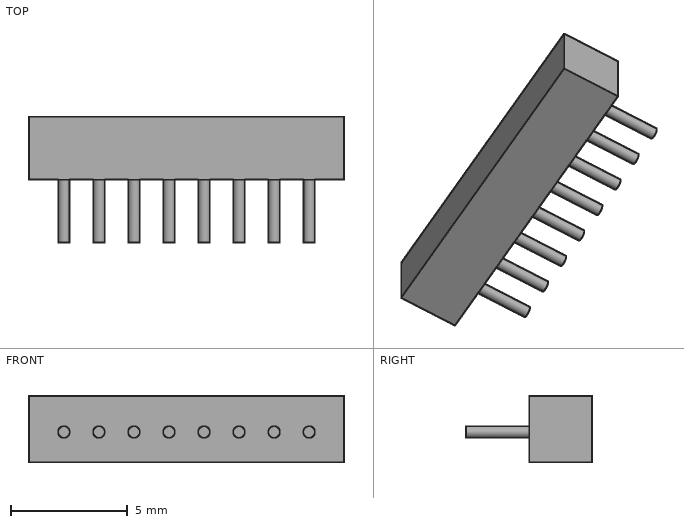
import cadquery as cq

body_length = 13.5
body_depth = 2.7
body_height = 2.85

pin_count = 8
pin_pitch = 1.5
pin_diameter = 0.5
pin_length = 2.7
pin_center_height = 1.3


def make_body():
    """Block centred on X, with its pin face on Y = 0 and its base on Z = 0."""
    return cq.Workplane("XY").box(
        body_length, body_depth, body_height, centered=(True, False, False)
    )


def make_pin(x):
    """Round pin pointing toward -Y from the pin face."""
    return (
        cq.Workplane("XZ")
        .center(x, pin_center_height)
        .circle(pin_diameter / 2)
        .extrude(pin_length)
    )


result = make_body()
first_pin_x = -(pin_count - 1) * pin_pitch / 2
for index in range(pin_count):
    result = result.union(make_pin(first_pin_x + index * pin_pitch))